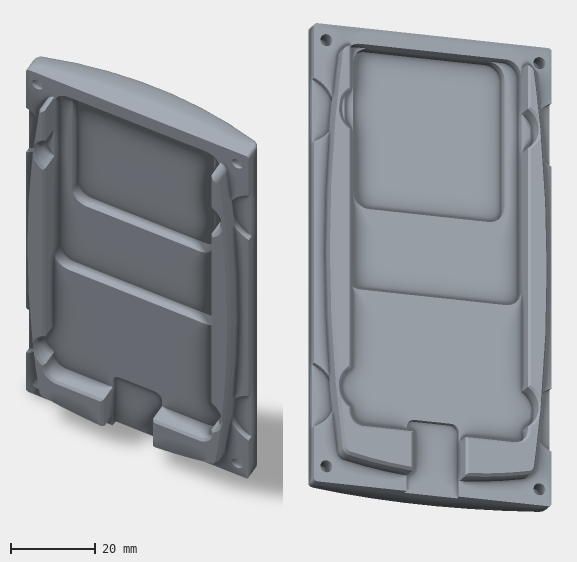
import cadquery as cq

WIDTH = 60.0
LENGTH = 114.0
THICKNESS = 9.8
EDGE_THICKNESS = 5.2
SIDE_ROUND = 2.0
END_ROUND = 0.8

RIM_HEIGHT = 5.0
RIM_WAIST = 27.5
RIM_CORNER_X = 24.0
RIM_CORNER_Z = 50.6
RIM_END_Z = 53.4
RIM_CORNER_ROUND = 2.0
RIM_CHAMFER_DEPTH = 1.0
RIM_CHAMFER_WIDTH = 0.6
MOUTH_BEVEL = 0.6
MOUTH_BEVEL_ANGLE = 45

OPENING_HALF_WIDTH = 22.3
OPENING_BOTTOM = -43.4
OPENING_ROUND = 3.4
POCKET_TOP = 53.0
POCKET_STEP = 3.0
POCKET_ROUND = 4.0
SHALLOW_BOTTOM = -8.1
DEEP_WIDTH = 38.2
DEEP_BOTTOM = 13.1

UPPER_NOTCH_Z = 35.0
LOWER_NOTCH_Z = -34.2
SCALLOP_Z = 35.5
NOTCH_RADIUS = 5.7
NOTCH_REACH = 25.1
SCALLOP_RADIUS = 8.4
SCALLOP_REACH = 24.6
SCALLOP_DEPTH = 1.5

SLOT_WIDTH = 13.2
SLOT_TOP = -39.1
SLOT_DEPTH = 1.5
SLOT_ROUND = 2.0

HOLE_DIAMETER = 3.0
HOLE_X = 26.9
HOLE_Z = 53.0
HOLE_DEPTH = 4.6


def plane_at(y):
    """Sketch plane facing -Y, with local axes along X and Z."""
    return cq.Workplane("XZ", origin=(0, y, 0))


def block(width, bottom, top, y_front, y_back):
    """Box centred on X = 0, spanning the given Z and Y limits."""
    outline = plane_at(y_back).center(0, (top + bottom) / 2).rect(width, top - bottom)
    return outline.extrude(y_back - y_front)


def make_plate():
    """Domed plate with rounded long sides and ends."""
    half = WIDTH / 2
    plate = (
        cq.Workplane("XY", origin=(0, 0, -LENGTH / 2))
        .moveTo(-half, 0)
        .lineTo(half, 0)
        .lineTo(half, EDGE_THICKNESS)
        .threePointArc((0, THICKNESS), (-half, EDGE_THICKNESS))
        .close()
        .extrude(LENGTH)
    )
    side_edges = [cq.NearestToPointSelector((side * half, EDGE_THICKNESS, 0)) for side in (-1, 1)]
    plate = plate.edges(side_edges[0] + side_edges[1]).fillet(SIDE_ROUND)
    for end in (">Z", "<Z"):
        plate = plate.faces(end).edges("not <Y").fillet(END_ROUND)
    return plate


def make_rim():
    """Solid barrel-shaped pad with a bevelled front edge."""
    x = RIM_CORNER_X
    z = RIM_CORNER_Z
    rim = (
        plane_at(0)
        .moveTo(-x, -z)
        .threePointArc((0, -RIM_END_Z), (x, -z))
        .threePointArc((RIM_WAIST, 0), (x, z))
        .threePointArc((0, RIM_END_Z), (-x, z))
        .threePointArc((-RIM_WAIST, 0), (-x, -z))
        .close()
        .extrude(RIM_HEIGHT)
        .edges("|Y")
        .fillet(RIM_CORNER_ROUND)
    )
    return rim.faces("<Y").edges().chamfer(RIM_CHAMFER_DEPTH, RIM_CHAMFER_WIDTH)


def cut_through_rim(rim, outline):
    """Cut a closed outline through the rim and bevel its mouth on the rim's front face."""
    bevel_base = RIM_HEIGHT - MOUTH_BEVEL
    rim = rim.cut(plane_at(0).placeSketch(outline).extrude(RIM_HEIGHT))
    return rim.cut(plane_at(-bevel_base).placeSketch(outline).extrude(MOUTH_BEVEL, taper=-MOUTH_BEVEL_ANGLE))


def cut_rim_openings(rim):
    """Hollow the pad into side rails, with thumb notches and a slot gap."""
    opening_height = LENGTH
    opening = (
        cq.Sketch()
        .push([(0, OPENING_BOTTOM + opening_height / 2)])
        .rect(2 * OPENING_HALF_WIDTH, opening_height)
        .reset()
        .vertices("<Y")
        .fillet(OPENING_ROUND)
        .reset()
    )
    rim = cut_through_rim(rim, opening)

    notch_x = NOTCH_REACH - NOTCH_RADIUS
    notch_places = [(side * notch_x, z) for side in (-1, 1) for z in (UPPER_NOTCH_Z, LOWER_NOTCH_Z)]
    for place in notch_places:
        rim = cut_through_rim(rim, cq.Sketch().push([place]).circle(NOTCH_RADIUS).reset())

    gap_height = LENGTH / 2
    gap = cq.Sketch().push([(0, SLOT_TOP - gap_height / 2)]).rect(SLOT_WIDTH, gap_height).reset()
    return cut_through_rim(rim, gap)


def cut_pockets(part):
    """Two stepped pockets sharing the same upper edge."""
    shallow = block(2 * OPENING_HALF_WIDTH, SHALLOW_BOTTOM, POCKET_TOP, 0, POCKET_STEP)
    deep = block(DEEP_WIDTH, DEEP_BOTTOM, POCKET_TOP, 0, 2 * POCKET_STEP)
    for pocket in (shallow, deep):
        part = part.cut(pocket.edges("|Y").fillet(POCKET_ROUND))
    return part


def cut_slot(part):
    """Shallow cable slot open at the lower end."""
    slot = block(SLOT_WIDTH, -LENGTH / 2, SLOT_TOP, 0, SLOT_DEPTH)
    return part.cut(slot.edges("|Y and >Z").fillet(SLOT_ROUND))


def cut_scallops(part):
    """Round finger recesses on both long sides."""
    for side in (-1, 1):
        for end in (-1, 1):
            centre = plane_at(SCALLOP_DEPTH).center(side * (SCALLOP_REACH + SCALLOP_RADIUS), end * SCALLOP_Z)
            part = part.cut(centre.circle(SCALLOP_RADIUS).extrude(SCALLOP_DEPTH))
    return part


def cut_holes(part):
    """Blind screw holes in the four corners."""
    holes = plane_at(HOLE_DEPTH).rect(2 * HOLE_X, 2 * HOLE_Z, forConstruction=True).vertices()
    return part.cut(holes.circle(HOLE_DIAMETER / 2).extrude(HOLE_DEPTH))


plate = cut_holes(cut_scallops(cut_slot(cut_pockets(make_plate()))))
result = plate.union(cut_rim_openings(make_rim()))